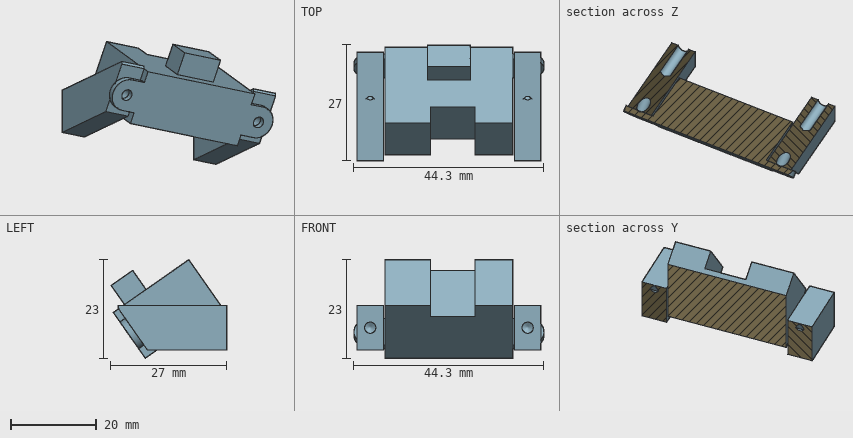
import cadquery as cq
import math

tilt = 35.0
block_width = 29.83
block_length = 21.5
block_height = 13.05

notch_left = -4.3
notch_width = 10.33
notch_depth = 4.45

boss_width = 10.0
boss_length = 6.15
boss_height = 5.45
boss_setback = 3.2

tab_span = 44.3
tab_thickness = 1.5
tab_width = 7.62
tab_radius = tab_width / 2
tab_center_x = tab_span / 2 - tab_radius
tab_center_z = block_height / 2

arm_width = 6.2
arm_height = 10.4
arm_length = 25.35
arm_back_y = 6.35
arm_top_z = block_length * math.sin(math.radians(tilt))
arm_bottom_z = arm_top_z - arm_height

hole_diameter = 2.6
hole_radius = hole_diameter / 2
hole_depth = 9.2
drill_point_angle = 118.0
drill_point_length = hole_radius / math.tan(math.radians(drill_point_angle / 2))


def tilted(shape):
    """Turn a squarely modelled shape about the X axis to the block's slope."""
    return shape.rotate((0, 0, 0), (1, 0, 0), -tilt)


def drill(length):
    """Cylinder along +Y from the origin, ending in a conical drill point."""
    return (
        cq.Workplane("XY")
        .lineTo(hole_radius, 0)
        .lineTo(hole_radius, length)
        .lineTo(0, length + drill_point_length)
        .close()
        .revolve(360, (0, 0), (0, 1))
    )


def make_tilted_block():
    """Block with front notch, upper boss and a pair of drilled mounting tabs."""
    block = cq.Workplane("XY").box(
        block_width, block_length, block_height, centered=(True, False, False)
    ).translate((0, -block_length, 0))
    notch = cq.Workplane("XY").box(
        notch_width, notch_depth, block_height, centered=False
    ).translate((notch_left, -block_length, 0))
    boss = cq.Workplane("XY").box(
        boss_width, boss_length, boss_height, centered=(True, False, False)
    ).translate((0, -boss_setback - boss_length, block_height))
    tabs = (
        cq.Workplane("XZ")
        .center(0, tab_center_z)
        .slot2D(tab_span, tab_width)
        .extrude(tab_thickness)
    )
    tab_holes = (
        cq.Workplane("XZ")
        .pushPoints([(-tab_center_x, tab_center_z), (tab_center_x, tab_center_z)])
        .circle(hole_radius)
        .extrude(tab_thickness)
    )
    return tilted(block.cut(notch).union(boss).union(tabs).cut(tab_holes))


def make_arm(center_x):
    """Straight arm with a sloped back face, a front hole and a sloped screw hole."""
    front_y = arm_back_y - arm_length
    arm = cq.Workplane("XY").box(
        arm_width, arm_length, arm_height, centered=(True, False, False)
    ).translate((center_x, front_y, arm_bottom_z))

    waste = tilted(
        cq.Workplane("XY")
        .box(arm_width, arm_length, 2 * arm_length, centered=(True, False, True))
        .translate((center_x, -tab_thickness, 0))
    )

    front_hole = drill(hole_depth).translate((center_x, front_y, arm_bottom_z + arm_height / 2))

    screw_hole = tilted(
        drill(hole_depth)
        .mirror("XZ")
        .translate((center_x, -tab_thickness, tab_center_z))
    )
    return arm.cut(waste).cut(front_hole).cut(screw_hole)


tilted_block = make_tilted_block()
arms = [make_arm(side * tab_center_x) for side in (-1, 1)]

result = cq.Compound.makeCompound([tilted_block.solids().val(), *[arm.solids().val() for arm in arms]])